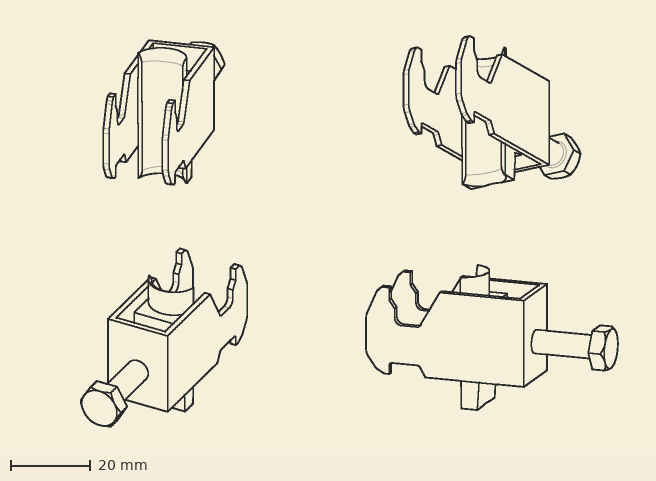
import cadquery as cq
import math


overall_length = 62.25

bracket_width = 17.0
sheet = 1.55
bracket_top = 12.75
bracket_bottom = -9.65
plate_top_depth = 22.5
hook_depth = 42.1
neck_depth = 27.95
neck_top = 3.25
neck_bottom = -6.7
neck_slope = math.radians(60)
notch_depth = 34.4
notch_step_low = 7.5
notch_step_high = 9.5
barb_depth = 35.9
barb_top_end = 38.0
barb_top_corner = (39.15, 11.75)
nose_top = 5.1
nose_bottom = -4.7
barb_bottom_corner = (39.4, -8.45)
barb_bottom_end = 37.2

neck_radius = 0.95
notch_radius = 1.85
lower_barb_radius = 0.75
barb_top_radius = 2.05
barb_bottom_radius = 1.55
nose_radius = 3.1

collar_diameter = 7.2
collar_root_radius = 0.5
collar_end_depth = 3.85

shank_diameter = 6.0
head_flats = 10.0
head_height = 4.0
head_end = overall_length - hook_depth
head_root_radius = 0.5

saddle_width = 12.7
saddle_back_depth = 9.85
saddle_front_depth = 17.75
saddle_top = 16.6
saddle_bottom = -17.4
block_top = 9.9
block_bottom_back = -9.7
block_bottom_front = -10.0
shell_back_depth = 12.7
shell_radius = 6.5
leg_back_draft = 0.5
front_draft = 0.25
groove_radius = 6.2
groove_crown_depth = 14.7
flare_depth = 2.85
flare_radius = 3.0
flare_throat_radius = 6.15
flare_sections = 6


def y_disc(diameter, y_from, y_to):
    """Solid cylinder on the bolt axis between two Y positions."""
    return cq.Workplane("XZ", origin=(0, y_from, 0)).circle(diameter / 2).extrude(y_from - y_to)


def root_fillet(radius, fillet, y_wall):
    """Revolved cylinder stub with a concave root fillet, standing on a wall at y_wall towards -Y."""
    mid = fillet * (1 - math.sqrt(0.5))
    return (
        cq.Workplane("XY")
        .moveTo(0, y_wall)
        .lineTo(radius + fillet, y_wall)
        .threePointArc((radius + mid, y_wall - mid), (radius, y_wall - fillet))
        .lineTo(0, y_wall - fillet)
        .close()
        .revolve(360, (0, 0, 0), (0, 1, 0))
    )


def side_profile():
    """Side plate outline as (depth, Z, corner radius)."""
    lower_plate_end = neck_depth - (neck_bottom - bracket_bottom) / math.tan(neck_slope)
    return [
        (0, bracket_top, 0),
        (plate_top_depth, bracket_top, 0),
        (neck_depth, neck_top, neck_radius),
        (notch_depth, neck_top, notch_radius),
        (notch_depth, notch_step_low, 0),
        (barb_depth, notch_step_high, 0),
        (barb_depth, bracket_top, 0),
        (barb_top_end, bracket_top, 0),
        (*barb_top_corner, barb_top_radius),
        (hook_depth, nose_top, nose_radius),
        (hook_depth, nose_bottom, nose_radius),
        (*barb_bottom_corner, barb_bottom_radius),
        (barb_bottom_end, bracket_bottom, 0),
        (barb_depth, bracket_bottom, 0),
        (barb_depth, neck_bottom, lower_barb_radius),
        (neck_depth, neck_bottom, neck_radius),
        (lower_plate_end, bracket_bottom, 0),
        (0, bracket_bottom, 0),
    ]


def make_bracket():
    corners = side_profile()
    body = (
        cq.Workplane("YZ")
        .polyline([(-depth, z) for depth, z, _ in corners])
        .close()
        .extrude(bracket_width / 2, both=True)
    )
    for depth, z, radius in corners:
        if radius > 0:
            corner_edge = cq.selectors.NearestToPointSelector((0, -depth, z))
            body = body.edges("|X").edges(corner_edge).fillet(radius)

    channel = (
        cq.Workplane("XY", origin=(0, -sheet - hook_depth / 2, bracket_bottom))
        .rect(bracket_width - 2 * sheet, hook_depth)
        .extrude(bracket_top - bracket_bottom)
    )
    body = body.cut(channel)

    body = body.union(y_disc(collar_diameter, -sheet, -collar_end_depth))
    body = body.union(root_fillet(collar_diameter / 2, collar_root_radius, -sheet))
    return body.cut(y_disc(shank_diameter, 0, -collar_end_depth))


def make_bolt():
    head_base = head_end - head_height
    corner_diameter = head_flats / math.cos(math.pi / 6)
    head = cq.Workplane("XZ", origin=(0, head_end, 0)).polygon(6, corner_diameter).extrude(head_height)

    chamfer_height = (corner_diameter - head_flats) / 2
    turned_blank = (
        cq.Workplane("XY")
        .moveTo(0, head_base)
        .lineTo(corner_diameter / 2, head_base)
        .lineTo(corner_diameter / 2, head_end - chamfer_height)
        .lineTo(head_flats / 2, head_end)
        .lineTo(0, head_end)
        .close()
        .revolve(360, (0, 0, 0), (0, 1, 0))
    )
    shank = y_disc(shank_diameter, head_base, -saddle_back_depth)
    root = root_fillet(shank_diameter / 2, head_root_radius, head_base)
    return head.intersect(turned_blank).union(shank).union(root)


def blend(start, end, fraction):
    return start + (end - start) * fraction


def flare_cutter():
    """Trumpet-shaped cutter, lofted from the throat in the groove up to the rim of the shell."""
    full_spread = flare_radius - math.sqrt(flare_radius**2 - flare_depth**2)
    rings = []
    for section in range(flare_sections):
        rise = flare_depth * section / (flare_sections - 1)
        spread = (flare_radius - math.sqrt(flare_radius**2 - rise**2)) / full_spread
        radius = blend(flare_throat_radius, shell_radius, spread)
        crown_depth = blend(groove_crown_depth, shell_back_depth, spread)
        ring = cq.Wire.makeCircle(
            radius,
            cq.Vector(0, -crown_depth - radius, saddle_top - flare_depth + rise),
            cq.Vector(0, 0, 1),
        )
        rings.append(ring)
    return cq.Workplane(cq.Solid.makeLoft(rings))


def make_saddle():
    body = (
        cq.Workplane("YZ")
        .polyline([
            (-saddle_back_depth, block_top),
            (-shell_back_depth, block_top),
            (-shell_back_depth, saddle_top),
            (-saddle_front_depth, saddle_top),
            (-saddle_front_depth + front_draft, saddle_bottom),
            (-shell_back_depth - leg_back_draft, saddle_bottom),
            (-shell_back_depth, block_bottom_front),
            (-saddle_back_depth, block_bottom_back),
        ])
        .close()
        .extrude(saddle_width / 2, both=True)
    )

    shell_waste = (
        cq.Workplane("XY", origin=(0, -shell_back_depth - shell_radius, block_top))
        .rect(2 * saddle_width, 2 * saddle_width)
        .circle(shell_radius)
        .extrude(saddle_top - block_top)
    )
    body = body.cut(shell_waste)

    groove = (
        cq.Workplane("XY", origin=(0, -groove_crown_depth - groove_radius, saddle_bottom))
        .circle(groove_radius)
        .extrude(saddle_top - saddle_bottom)
    )
    top_flare = flare_cutter()
    bottom_flare = top_flare.mirror("XY").translate((0, 0, saddle_top + saddle_bottom))
    return body.cut(groove).cut(top_flare).cut(bottom_flare)


bracket = make_bracket()
bolt = make_bolt()
saddle = make_saddle()

result = cq.Compound.makeCompound([bracket.solids().val(), bolt.solids().val(), saddle.solids().val()])